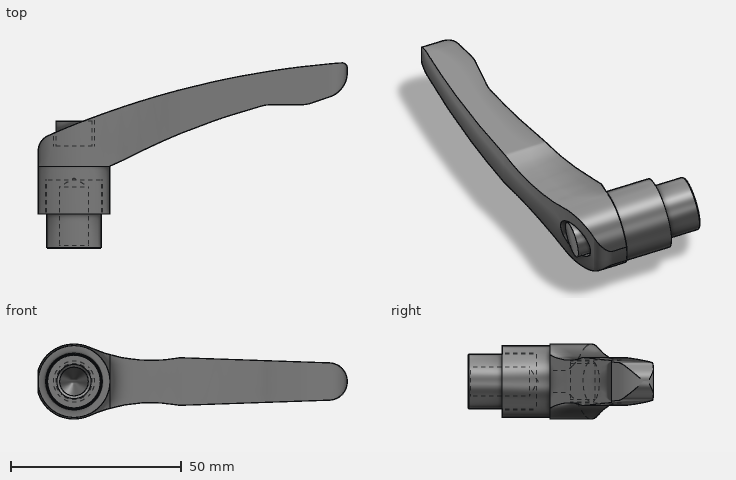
import cadquery as cq
import math


insert_diameter = 16.0
insert_chamfer = 0.3
thread_diameter = 8.38
countersink_diameter = 10.0
thread_depth = 18.0
drill_point_angle = 118.0
screw_diameter = 10.6
screw_top = 37.2

collar_diameter = 21.0
collar_bottom = 10.0
hub_bottom = 24.0
hub_radius = 11.0
insert_bore_diameter = 16.6
insert_bore_top = 20.0
screw_recess_diameter = 12.0
screw_recess_floor = 30.0
hub_back_x = -collar_diameter / 2

arm_end_x = 80.0
crown_radius = 263.7
crown_center_x = 98.0
crown_center_y = -208.67
underside_radius = 200.0
underside_start = (14.8, 25.95)
underside_end = (56.2, 41.95)
thumb_rest_end_x = 68.0
tip_start = (75.0, 44.35)
tip_bottom_radius = 7.6
tip_top_y = 51.5
hub_back_fillet = 5.0
tip_top_fillet = 1.6
thumb_rest_inner_fillet = 8.0
thumb_rest_outer_fillet = 10.0

waist_x = 22.5
waist_half_width = 6.2
shoulder_x = 30.9
shoulder_fillet = 5.0
tip_radius = 5.5
tip_center_x = arm_end_x - tip_radius


def cylinder(diameter, bottom, top):
    """Cylinder about the Y axis between two heights."""
    base = cq.Workplane("XZ", origin=(0, bottom, 0))
    return base.circle(diameter / 2).extrude(bottom - top)


def crown_point(x):
    """Point on the convex upper arc of the arm."""
    rise = math.sqrt(crown_radius**2 - (x - crown_center_x) ** 2)
    return (x, crown_center_y + rise)


def arc_middle(start, end, radius):
    """Middle of a minor arc from start to end that bulges to the left of its chord."""
    dx = end[0] - start[0]
    dy = end[1] - start[1]
    chord = math.hypot(dx, dy)
    bulge = radius - math.sqrt(radius**2 - (chord / 2) ** 2)
    middle_x = (start[0] + end[0]) / 2 - bulge * dy / chord
    middle_y = (start[1] + end[1]) / 2 + bulge * dx / chord
    return (middle_x, middle_y)


def fillet_edge(body, direction, point, radius):
    """Round the edge along the given direction that lies nearest to a point."""
    edge = body.edges(direction).edges(cq.NearestToPointSelector(point))
    return edge.fillet(radius)


def arm_profile():
    """Side shape of hub and arm, as wide in Z as the hub."""
    back_top = crown_point(hub_back_x)
    end_top = crown_point(arm_end_x)
    thumb_rest_end = (thumb_rest_end_x, underside_end[1])
    tip_end = (arm_end_x, tip_top_y)
    body = (
        cq.Workplane("XY")
        .moveTo(hub_back_x, hub_bottom)
        .lineTo(-hub_back_x, hub_bottom)
        .lineTo(*underside_start)
        .threePointArc(arc_middle(underside_start, underside_end, underside_radius), underside_end)
        .lineTo(*thumb_rest_end)
        .lineTo(*tip_start)
        .threePointArc(arc_middle(tip_end, tip_start, tip_bottom_radius), tip_end)
        .lineTo(*end_top)
        .threePointArc(crown_point((hub_back_x + arm_end_x) / 2), back_top)
        .close()
        .extrude(hub_radius, both=True)
    )
    body = fillet_edge(body, "|Z", (*back_top, 0), hub_back_fillet)
    body = fillet_edge(body, "|Z", (*end_top, 0), tip_top_fillet)
    body = fillet_edge(body, "|Z", (*underside_end, 0), thumb_rest_inner_fillet)
    return fillet_edge(body, "|Z", (*thumb_rest_end, 0), thumb_rest_outer_fillet)


def arm_outline():
    """Plan shape, as tall in Y as the arm: round hub, concave neck, tapering grip and round tip."""
    neck_radius = (waist_x**2 + waist_half_width**2 - hub_radius**2) / (2 * (hub_radius - waist_half_width))
    neck_center_z = waist_half_width + neck_radius
    center_distance = hub_radius + neck_radius
    hub_tangent_x = hub_radius * waist_x / center_distance
    hub_tangent_z = hub_radius * neck_center_z / center_distance
    shoulder_z = neck_center_z - math.sqrt(neck_radius**2 - (shoulder_x - waist_x) ** 2)
    back_z = math.sqrt(hub_radius**2 - hub_back_x**2)
    body = (
        cq.Workplane("XZ")
        .moveTo(hub_back_x, -back_z)
        .lineTo(hub_back_x, back_z)
        .threePointArc((0, hub_radius), (hub_tangent_x, hub_tangent_z))
        .threePointArc((waist_x, waist_half_width), (shoulder_x, shoulder_z))
        .lineTo(tip_center_x, tip_radius)
        .threePointArc((arm_end_x, 0), (tip_center_x, -tip_radius))
        .lineTo(shoulder_x, -shoulder_z)
        .threePointArc((waist_x, -waist_half_width), (hub_tangent_x, -hub_tangent_z))
        .threePointArc((0, -hub_radius), (hub_back_x, -back_z))
        .close()
        .extrude(-crown_point(arm_end_x)[1])
    )
    for side in (1, -1):
        body = fillet_edge(body, "|Y", (shoulder_x, 0, side * shoulder_z), shoulder_fillet)
    return body


def insert_with_screw():
    """Chamfered insert at the bottom and screw head at the top, meeting inside the hub."""
    insert = cylinder(insert_diameter, 0, hub_bottom).faces("<Y").chamfer(insert_chamfer)
    return insert.union(cylinder(screw_diameter, hub_bottom, screw_top))


def threaded_hole():
    """Blind hole up from y = 0 with a 45 degree countersink and a drill point."""
    radius = thread_diameter / 2
    countersink_radius = countersink_diameter / 2
    point_length = radius / math.tan(math.radians(drill_point_angle / 2))
    return (
        cq.Workplane("XY")
        .lineTo(countersink_radius, 0)
        .lineTo(radius, countersink_radius - radius)
        .lineTo(radius, thread_depth)
        .lineTo(0, thread_depth + point_length)
        .close()
        .revolve(360, (0, 0, 0), (0, 1, 0))
    )


handle = arm_profile().intersect(arm_outline())
handle = handle.union(cylinder(collar_diameter, collar_bottom, hub_bottom))
handle = handle.cut(cylinder(insert_bore_diameter, collar_bottom, insert_bore_top))
recess_top = crown_point(hub_radius)[1]
handle = handle.cut(cylinder(screw_recess_diameter, screw_recess_floor, recess_top))
result = handle.union(insert_with_screw()).cut(threaded_hole())